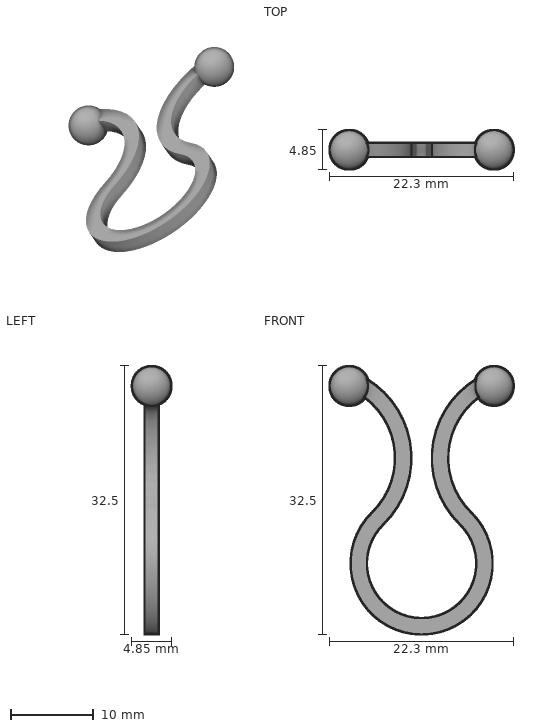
import cadquery as cq
import math

overall_width = 22.3
overall_height = 32.48
ball_diameter = 4.85
strip_width = 2.0
strip_thickness = 1.75
loop_outer_radius = 8.6
neck_gap = 2.45
neck_height = 12.73
arm_end_angle = 114.0

ball_radius = ball_diameter / 2
ball_x = overall_width / 2 - ball_radius
ball_z = overall_height - loop_outer_radius - ball_radius

half_strip = strip_width / 2
loop_radius = loop_outer_radius - half_strip
neck_x = neck_gap / 2 + half_strip
arm_radius = (neck_x**2 + neck_height**2 - loop_radius**2) / (2 * (loop_radius - neck_x))
arm_center = (neck_x + arm_radius, neck_height)
join_angle = math.degrees(math.atan2(arm_center[1], arm_center[0]))


def polar(center, radius, angle):
    """Point at the given radius and angle (degrees) about a centre."""
    a = math.radians(angle)
    return (center[0] + radius * math.cos(a), center[1] + radius * math.sin(a))


def mirrored(point):
    return (-point[0], point[1])


def strip():
    """Lower loop flowing into two outward-curving arms, as one flat outline."""
    loop_center = (0, 0)
    arm_start_angle = 180 + join_angle
    arm_mid_angle = (arm_start_angle + arm_end_angle) / 2
    loop_inner = loop_radius - half_strip
    arm_inner = arm_radius - half_strip
    arm_outer = arm_radius + half_strip

    outer_join = polar(loop_center, loop_outer_radius, join_angle)
    inner_join = polar(loop_center, loop_inner, join_angle)
    outer_mid = polar(arm_center, arm_inner, arm_mid_angle)
    inner_mid = polar(arm_center, arm_outer, arm_mid_angle)
    outer_end = polar(arm_center, arm_inner, arm_end_angle)
    inner_end = polar(arm_center, arm_outer, arm_end_angle)

    return (
        cq.Workplane("XZ")
        .moveTo(*outer_end)
        .threePointArc(outer_mid, outer_join)
        .threePointArc((0, -loop_outer_radius), mirrored(outer_join))
        .threePointArc(mirrored(outer_mid), mirrored(outer_end))
        .lineTo(*mirrored(inner_end))
        .threePointArc(mirrored(inner_mid), mirrored(inner_join))
        .threePointArc((0, -loop_inner), inner_join)
        .threePointArc(inner_mid, inner_end)
        .close()
        .extrude(strip_thickness / 2, both=True)
    )


def ball(x):
    return cq.Workplane("XY").sphere(ball_radius).translate((x, 0, ball_z))


result = strip()
for side in (-1, 1):
    result = result.union(ball(side * ball_x))